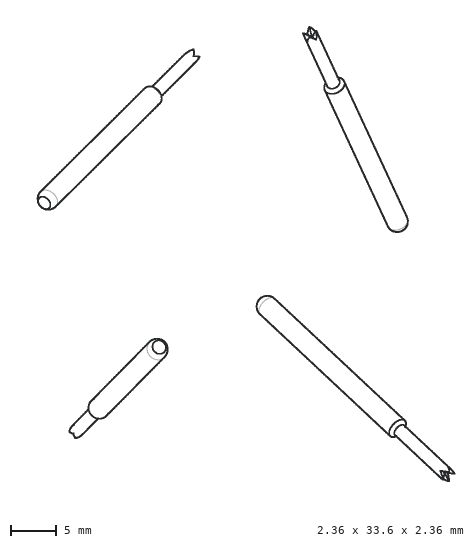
import cadquery as cq
import math

total_length = 33.6
barrel_radius = 1.18
plunger_radius = 0.75

tail_length = 0.85
tail_radius = 0.77

plunger_length = 8.9
shoulder_chamfer = 0.37

groove_angle = 60.0
groove_directions = (45.0, 135.0)

tail_y = -total_length / 2
tip_y = total_length / 2
shoulder_y = tip_y - plunger_length


def make_pin():
    """Revolve the barrel, shoulder and plunger in one profile."""
    return (
        cq.Workplane("XY")
        .moveTo(0, shoulder_y)
        .lineTo(0, tip_y)
        .lineTo(plunger_radius, tip_y)
        .lineTo(plunger_radius, shoulder_y)
        .lineTo(barrel_radius, shoulder_y - shoulder_chamfer)
        .lineTo(barrel_radius, tail_y + tail_length)
        .tangentArcPoint((tail_radius, tail_y), relative=False)
        .lineTo(0, tail_y)
        .close()
        .revolve(360, (0, 0, 0), (0, 1, 0))
    )


def make_groove(direction):
    """Return a V cutter crossing the tip, turned about the pin axis."""
    half_width = plunger_radius * math.sin(math.radians(45))
    half_angle_slope = math.tan(math.radians(groove_angle / 2))
    depth = half_width / half_angle_slope
    overshoot = depth
    top_half_width = (depth + overshoot) * half_angle_slope
    return (
        cq.Workplane("XY")
        .polyline([
            (0, tip_y - depth),
            (top_half_width, tip_y + overshoot),
            (-top_half_width, tip_y + overshoot),
        ])
        .close()
        .extrude(2 * plunger_radius, both=True)
        .rotate((0, 0, 0), (0, 1, 0), direction)
    )


result = make_pin()
for groove_direction in groove_directions:
    result = result.cut(make_groove(groove_direction))